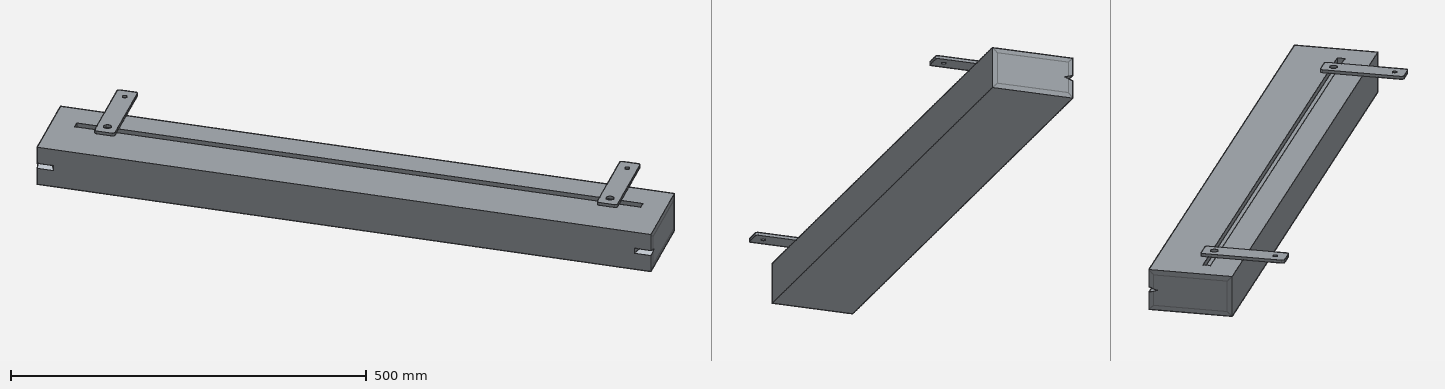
import cadquery as cq

overall_length = 899.0
overall_depth = 180.0
overall_height = 65.0

cap_rise = 1.0
cap_border = 7.0
body_length = overall_length - 2 * cap_rise
body_depth = 120.5
body_height = 60.0
body_front = -overall_depth / 2
body_back = body_front + body_depth

strap_thickness = overall_height - body_height
strap_width = 30.0
strap_length = 120.5
strap_spacing = 734.5
strap_corner_radius = 4.0
strap_back = overall_depth / 2
strap_front = strap_back - strap_length
wall_hole_diameter = 6.0
wall_hole_inset = 16.0
groove_hole_diameter = 11.0

groove_length = 827.0
groove_width = 11.0
groove_depth = 8.0
groove_y = -14.0

notch_length = 25.0
notch_end_slope = 6.0
notch_height = 8.0
notch_depth = 13.0


def make_end_cap(side):
    """Shallow tapered cap on the -X (side = -1) or +X (side = 1) end."""
    wide_face = cq.Workplane(
        cq.Plane(
            origin=(side * body_length / 2, (body_front + body_back) / 2, body_height / 2),
            xDir=(0, 1, 0),
            normal=(side, 0, 0),
        )
    )
    return (
        wide_face.rect(body_depth, body_height)
        .workplane(offset=cap_rise)
        .rect(body_depth - 2 * cap_border, body_height - 2 * cap_border)
        .loft(ruled=True)
    )


def make_strap(x):
    """Flat strap lying on the body and reaching past its back face."""
    return (
        cq.Workplane("XY", origin=(x, 0, body_height))
        .center(0, (strap_front + strap_back) / 2)
        .rect(strap_width, strap_length)
        .extrude(strap_thickness)
        .edges("|Z")
        .fillet(strap_corner_radius)
    )


def make_strap_hole(x, y, diameter):
    return (
        cq.Workplane("XY", origin=(x, y, body_height))
        .circle(diameter / 2)
        .extrude(strap_thickness)
    )


def make_notch(side):
    """V-shaped cutter whose inner end leans toward the end of the body."""
    end_x = side * overall_length / 2
    mouth_x = end_x - side * notch_length
    root_x = mouth_x + side * notch_end_slope
    root_y = body_front + notch_depth
    mid_height = body_height / 2
    v_prism = (
        cq.Workplane("YZ", origin=(-overall_length / 2, 0, 0))
        .moveTo(body_front, mid_height - notch_height / 2)
        .lineTo(root_y, mid_height)
        .lineTo(body_front, mid_height + notch_height / 2)
        .close()
        .extrude(overall_length)
    )
    plan_prism = (
        cq.Workplane("XY")
        .moveTo(end_x, body_front)
        .lineTo(mouth_x, body_front)
        .lineTo(root_x, root_y)
        .lineTo(end_x, root_y)
        .close()
        .extrude(body_height)
    )
    return v_prism.intersect(plan_prism)


body = (
    cq.Workplane("XY")
    .center(0, (body_front + body_back) / 2)
    .rect(body_length, body_depth)
    .extrude(body_height)
)
groove = (
    cq.Workplane("XY", origin=(0, groove_y, body_height))
    .rect(groove_length, groove_width)
    .extrude(-groove_depth)
)
result = body.cut(groove)

for side in (-1, 1):
    strap_x = side * strap_spacing / 2
    result = (
        result.union(make_end_cap(side))
        .cut(make_notch(side))
        .union(make_strap(strap_x))
        .cut(make_strap_hole(strap_x, strap_back - wall_hole_inset, wall_hole_diameter))
        .cut(make_strap_hole(strap_x, groove_y, groove_hole_diameter))
    )